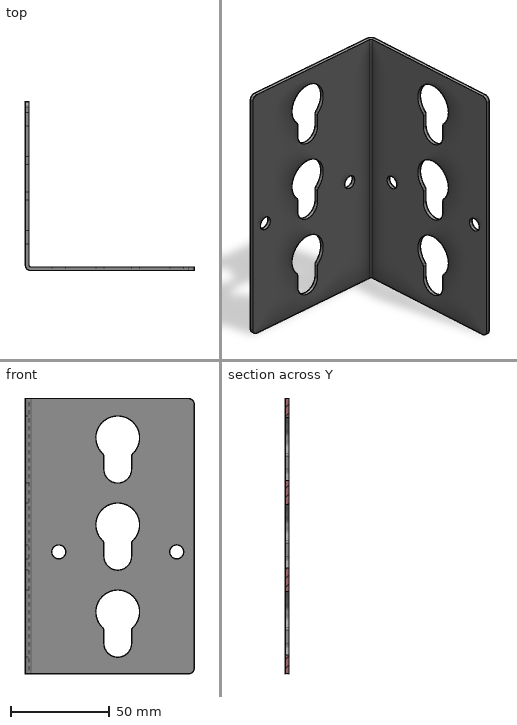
import cadquery as cq
import math

height = 140.0
flange_width = 86.0
thickness = 2.0
bend_outer_radius = 3.0
bend_inner_radius = bend_outer_radius - thickness
corner_radius = 3.0

keyhole_offset = 47.0
keyhole_count = 3
keyhole_pitch = 44.2
top_keyhole_z = 120.0
entry_radius = 11.0
slot_radius = 7.0
slot_drop = 16.0
neck_radius = 2.0

hole_diameter = 7.0
hole_spacing = 59.9
hole_z = 62.0

half_height = height / 2
cut_depth = 2 * thickness


def make_angle():
    """Extrude the L-shaped section, then round the bend and free corners."""
    body = (
        cq.Workplane("XY")
        .moveTo(0, 0)
        .lineTo(flange_width, 0)
        .lineTo(flange_width, thickness)
        .lineTo(thickness, thickness)
        .lineTo(thickness, flange_width)
        .lineTo(0, flange_width)
        .close()
        .extrude(height)
    )
    inner_bend = cq.NearestToPointSelector((thickness, thickness, half_height))
    outer_bend = cq.NearestToPointSelector((0, 0, half_height))
    body = body.edges("|Z").edges(inner_bend).fillet(bend_inner_radius)
    body = body.edges("|Z").edges(outer_bend).fillet(bend_outer_radius)
    body = body.faces(">X").edges("|Y").fillet(corner_radius)
    return body.faces(">Y").edges("|X").fillet(corner_radius)


def keyhole(sketch, entry_z):
    """Draw one keyhole whose entry circle is centred at entry_z."""
    neck_x = slot_radius + neck_radius
    centre_distance = entry_radius + neck_radius
    neck_drop = math.sqrt(centre_distance**2 - neck_x**2)
    touch_ratio = entry_radius / centre_distance
    touch_x = neck_x * touch_ratio
    touch_z = entry_z - neck_drop * touch_ratio
    neck_z = entry_z - neck_drop
    slot_z = entry_z - slot_drop

    half_turn = math.atan2(neck_drop, neck_x) / 2
    mid_x = neck_x - neck_radius * math.cos(half_turn)
    mid_z = neck_z + neck_radius * math.sin(half_turn)

    left = keyhole_offset - slot_radius
    right = keyhole_offset + slot_radius
    return (
        sketch.moveTo(keyhole_offset - touch_x, touch_z)
        .threePointArc((keyhole_offset, entry_z + entry_radius), (keyhole_offset + touch_x, touch_z))
        .threePointArc((keyhole_offset + mid_x, mid_z), (right, neck_z))
        .lineTo(right, slot_z)
        .threePointArc((keyhole_offset, slot_z - slot_radius), (left, slot_z))
        .lineTo(left, neck_z)
        .threePointArc((keyhole_offset - mid_x, mid_z), (keyhole_offset - touch_x, touch_z))
        .close()
    )


def make_cutters():
    """Solids for all openings in the flange that lies along X."""
    keyholes = cq.Workplane("XZ")
    for index in range(keyhole_count):
        keyholes = keyhole(keyholes, top_keyhole_z - index * keyhole_pitch)
    keyholes = keyholes.extrude(cut_depth, both=True)

    hole_places = [(keyhole_offset + side * hole_spacing / 2, hole_z) for side in (-1, 1)]
    holes = (
        cq.Workplane("XZ")
        .pushPoints(hole_places)
        .circle(hole_diameter / 2)
        .extrude(cut_depth, both=True)
    )
    return keyholes.add(holes).combine()


x_flange_cutters = make_cutters()
y_flange_cutters = x_flange_cutters.rotate((0, 0, 0), (0, 0, 1), 90)

result = make_angle().cut(x_flange_cutters).cut(y_flange_cutters)